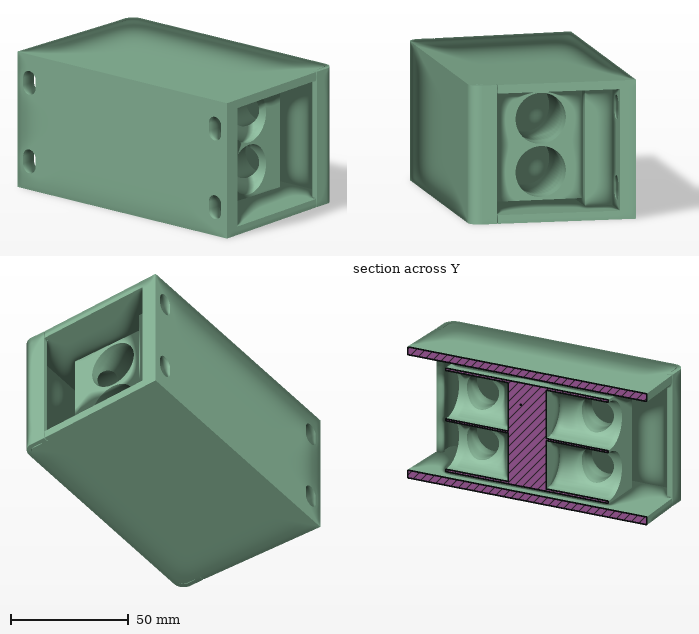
import cadquery as cq

front_width = 118.0
depth = 72.0
height = 60.0

front_wall = 7.0
plate_thickness = 3.75
frame_end_y = 60.0
back_width = 114.0
inner_height = height - 2 * plate_thickness

shell_wall = 2.0
shell_corner_radius = 5.0
shell_inner_radius = shell_corner_radius - shell_wall
shell_start_y = 60.5
shell_inner_half_width = back_width / 2 - shell_wall
shell_inner_y = depth - shell_wall

bead_radius = 1.25
bead_y = shell_start_y + bead_radius

relief_gap = 0.3
plate_edge_x = shell_inner_half_width - relief_gap
relief_corner_y = shell_inner_y - shell_inner_radius
relief_corner_x = shell_inner_half_width - shell_inner_radius

slot_width = 7.0
slot_length = 10.5
slot_x = 52.2
slot_z = 17.4

base_half_width = 45.0
base_end_y = 19.0
block_half_width = 39.3
block_height = 47.5
block_end_y = 57.0

bore_diameter = 22.0
bore_depth = 30.0
bore_y = 37.0
bore_z = 11.5
screw_hole_diameter = 15.5
screw_hole_x = 27.7


def box_between(half_width, start_y, end_y, box_height):
    """Box centred on x and z that spans start_y to end_y."""
    size_y = end_y - start_y
    return cq.Workplane("XY").box(2 * half_width, size_y, box_height).translate((0, start_y + size_y / 2, 0))


def make_housing():
    half_front = front_width / 2
    half_back = back_width / 2
    envelope = (
        cq.Workplane("XY", origin=(0, 0, -height / 2))
        .polyline([
            (-half_front, 0),
            (half_front, 0),
            (half_back, frame_end_y),
            (half_back, depth),
            (-half_back, depth),
            (-half_back, frame_end_y),
        ])
        .close()
        .extrude(height)
        .edges("|Z and >Y")
        .fillet(shell_corner_radius)
    )
    side_opening = box_between(half_front, front_wall, shell_start_y, inner_height)
    shell_cavity = (
        box_between(shell_inner_half_width, front_wall, shell_inner_y, inner_height)
        .edges("|Z and >Y")
        .fillet(shell_inner_radius)
    )
    return envelope.cut(side_opening).cut(shell_cavity)


def make_shell_gap(side):
    """Clearance between the end of one shell leg and the shoulder of the frame."""
    gap_depth = shell_start_y - frame_end_y
    gap_width = front_width / 2 - plate_edge_x
    return (
        cq.Workplane("XY")
        .box(gap_width, gap_depth, height)
        .translate((
            side * (plate_edge_x + gap_width / 2),
            frame_end_y + gap_depth / 2,
            0,
        ))
    )


def make_corner_relief():
    """Relief at the left corner: a thin gap from the bead along the shell, closing at the back."""
    return (
        cq.Workplane("XY", origin=(0, 0, -height / 2))
        .moveTo(-shell_inner_half_width, bead_y)
        .lineTo(-shell_inner_half_width, relief_corner_y)
        .radiusArc((-relief_corner_x, shell_inner_y), shell_inner_radius)
        .radiusArc((-plate_edge_x, relief_corner_y), -shell_inner_radius)
        .lineTo(-plate_edge_x, bead_y)
        .close()
        .extrude(height)
    )


def make_bead(side):
    return (
        cq.Workplane("XY", origin=(side * shell_inner_half_width, bead_y, -height / 2))
        .circle(bead_radius)
        .extrude(height)
    )


def make_mounting_slots():
    slot_centres = [(x, z) for x in (-slot_x, slot_x) for z in (-slot_z, slot_z)]
    return (
        cq.Workplane("XZ")
        .pushPoints(slot_centres)
        .slot2D(slot_length, slot_width, 90)
        .extrude(-front_wall)
    )


def make_terminal_block():
    block = box_between(block_half_width, base_end_y, block_end_y, block_height)
    for side in (-1, 1):
        for z in (-bore_z, bore_z):
            bore = cq.Solid.makeCylinder(
                bore_diameter / 2,
                bore_depth,
                cq.Vector(side * block_half_width, bore_y, z),
                cq.Vector(-side, 0, 0),
            )
            screw_hole = cq.Solid.makeCylinder(
                screw_hole_diameter / 2,
                block_end_y - bore_y,
                cq.Vector(side * screw_hole_x, bore_y, z),
                cq.Vector(0, 1, 0),
            )
            block = block.cut(bore).cut(screw_hole)
    base = box_between(base_half_width, front_wall, base_end_y, inner_height)
    return block.union(base)


housing = make_housing().cut(make_mounting_slots())
left_relief = make_corner_relief()
housing = housing.cut(left_relief).cut(left_relief.mirror("YZ"))
for leg_side in (-1, 1):
    housing = housing.cut(make_shell_gap(leg_side)).union(make_bead(leg_side))

result = housing.union(make_terminal_block())